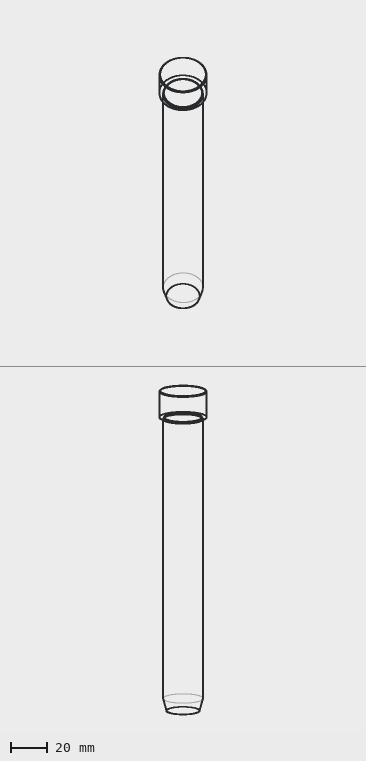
import cadquery as cq
import math

total_length = 180.0
head_diameter = 26.0
head_height = 15.0
shaft_diameter = 22.0

taper_height = 7.0
taper_angle = 15.0

head_chamfer = 0.5

neck_height = 0.5
neck_cone_height = 0.5
neck_depth = 0.5

head_radius = head_diameter / 2
shaft_radius = shaft_diameter / 2
tip_radius = shaft_radius - taper_height * math.tan(math.radians(taper_angle))
neck_radius = shaft_radius - neck_depth
head_bottom = total_length - head_height
neck_bottom = head_bottom - neck_height

half_profile = [
    (0, 0),
    (tip_radius, 0),
    (shaft_radius, taper_height),
    (shaft_radius, neck_bottom - neck_cone_height),
    (neck_radius, neck_bottom),
    (neck_radius, head_bottom),
    (head_radius, head_bottom),
    (head_radius, total_length - head_chamfer),
    (head_radius - head_chamfer, total_length),
    (0, total_length),
]

result = cq.Workplane("XZ").polyline(half_profile).close().revolve(360, (0, 0, 0), (0, 1, 0))